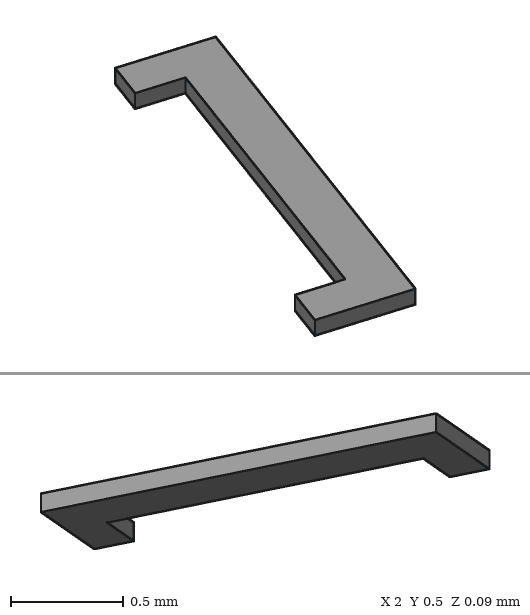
import cadquery as cq

length = 2.0
width = 0.5
thickness = 0.09

leg_width = 0.2
leg_length = 0.25


def make_plate():
    """Rectangular blank centred in X and Y, resting on Z = 0."""
    return cq.Workplane("XY").box(length, width, thickness, centered=(True, True, False))


def make_notch():
    """Volume between the two legs, open toward -Y."""
    notch_length = length - 2 * leg_width
    notch_centre_y = (leg_length - width) / 2
    return (
        cq.Workplane("XY")
        .center(0, notch_centre_y)
        .box(notch_length, leg_length, thickness, centered=(True, True, False))
    )


result = make_plate().cut(make_notch())